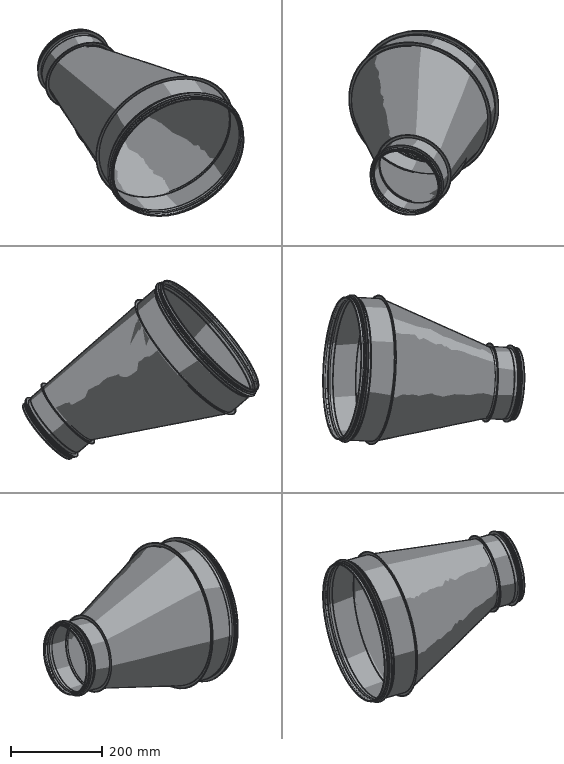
import cadquery as cq
import math


total_length = 416.0
small_diameter = 159.0
large_diameter = 314.0
large_flange_diameter = 328.5
sheet = 0.5
small_collar_length = 63.0
large_collar_length = 75.7

collar_flange_height = (large_flange_diameter - large_diameter) / 2
cone_flange_height = 6.0
bend_radius = 1.2
neck_length = 4.5

hem_length = 6.0
fold_radius = 1.45
seat_taper_start = 8.5
seat_taper_end = 13.7
groove_end = 22.5
groove_slope_end = 24.0
groove_rim_end = 26.0
groove_rim_middle = (groove_slope_end + groove_rim_end) / 2

seat_depth = 2 * fold_radius - sheet
groove_depth = 1.87
groove_rim_depth = 0.5
groove_rim_middle_depth = 0.12

front_lip_height = 2.7
back_lip_height = 5.0
gasket_base_depth = 0.62
front_lip_start = 8.5
front_lip_tip_start = 10.0
front_lip_end = 11.2
back_lip_start = 13.0
back_lip_tip_start = 14.5
back_lip_end = 16.2

axis_offset = (large_diameter - small_diameter) / 2


class DuctEnd:
    """One end of the reducer, measured inwards along the duct and outwards from its axis."""

    def __init__(self, diameter, axis_y, open_x, direction, collar_length):
        self.radius = diameter / 2
        self.axis_y = axis_y
        self.open_x = open_x
        self.direction = direction
        self.collar_length = collar_length
        self.neck_end = collar_length + neck_length

    def x(self, distance):
        return self.open_x + self.direction * distance

    def point(self, distance, height):
        """Point of a half section; the height is counted from the outside of the duct."""
        return (self.x(distance), self.axis_y + self.radius + height)

    def revolve(self, section):
        return section.close().revolve(360, (0, self.axis_y, 0), (1, self.axis_y, 0))

    def disc(self, distance, height):
        """Circle around the duct axis, as a wire to loft through."""
        centre = cq.Vector(self.x(distance), self.axis_y, 0)
        return cq.Wire.makeCircle(self.radius + height, centre, cq.Vector(1, 0, 0))


small_end = DuctEnd(small_diameter, -axis_offset, 0, 1, small_collar_length)
large_end = DuctEnd(large_diameter, 0, total_length, -1, large_collar_length)
duct_ends = [small_end, large_end]


def make_collar(end):
    """Sheet collar: hem, gasket seat, groove, straight duct and flange, revolved around the duct."""
    p = end.point
    joint = end.collar_length
    flange_face = joint - sheet
    bend_start = flange_face - bend_radius
    bend_middle = bend_radius * (1 - math.cos(math.radians(45)))
    section = (
        cq.Workplane("XY")
        .moveTo(*p(hem_length, 0))
        .lineTo(*p(hem_length, -sheet))
        .lineTo(*p(fold_radius, -sheet))
        .threePointArc(p(sheet, -fold_radius), p(fold_radius, -seat_depth))
        .lineTo(*p(seat_taper_start, -seat_depth))
        .lineTo(*p(seat_taper_end, -groove_depth))
        .lineTo(*p(groove_end, -groove_depth))
        .lineTo(*p(groove_slope_end, -groove_rim_depth))
        .threePointArc(p(groove_rim_middle, -groove_rim_middle_depth), p(groove_rim_end, 0))
        .lineTo(*p(bend_start, 0))
        .threePointArc(p(flange_face - bend_middle, bend_middle), p(flange_face, bend_radius))
        .lineTo(*p(flange_face, collar_flange_height))
        .lineTo(*p(joint, collar_flange_height))
        .lineTo(*p(joint, -sheet))
        .lineTo(*p(groove_rim_end, -sheet))
        .threePointArc(
            p(groove_rim_middle, -groove_rim_middle_depth - sheet),
            p(groove_slope_end, -groove_rim_depth - sheet),
        )
        .lineTo(*p(groove_end, -groove_depth - sheet))
        .lineTo(*p(seat_taper_end, -groove_depth - sheet))
        .lineTo(*p(seat_taper_start, -seat_depth - sheet))
        .lineTo(*p(fold_radius, -2 * fold_radius))
        .threePointArc(p(0, -fold_radius), p(fold_radius, 0))
    )
    return end.revolve(section)


def make_gasket(end):
    """Rubber ring with its foot inside the hem and two lips that lean into the reducer."""
    p = end.point
    section = (
        cq.Workplane("XY")
        .moveTo(*p(fold_radius, -sheet))
        .lineTo(*p(hem_length, -sheet))
        .lineTo(*p(hem_length, 0))
        .lineTo(*p(front_lip_start, 0))
        .lineTo(*p(front_lip_tip_start, front_lip_height))
        .lineTo(*p(front_lip_end, front_lip_height))
        .lineTo(*p(front_lip_end, -gasket_base_depth))
        .lineTo(*p(back_lip_start, -gasket_base_depth))
        .lineTo(*p(back_lip_tip_start, back_lip_height))
        .lineTo(*p(back_lip_end, back_lip_height))
        .lineTo(*p(back_lip_end, -groove_depth))
        .lineTo(*p(seat_taper_end, -groove_depth))
        .lineTo(*p(seat_taper_start, -seat_depth))
        .lineTo(*p(fold_radius, -seat_depth))
    )
    return end.revolve(section)


def make_cone_edge(end):
    """Flange and straight neck at one end of the cone."""
    p = end.point
    joint = end.collar_length
    section = (
        cq.Workplane("XY")
        .moveTo(*p(joint, -sheet))
        .lineTo(*p(joint, cone_flange_height))
        .lineTo(*p(joint + sheet, cone_flange_height))
        .lineTo(*p(joint + sheet, 0))
        .lineTo(*p(end.neck_end, 0))
        .lineTo(*p(end.neck_end, -sheet))
    )
    return end.revolve(section)


def loft_between_necks(height):
    wires = [end.disc(end.neck_end, height) for end in duct_ends]
    return cq.Workplane(cq.Solid.makeLoft(wires, True))


def make_cone():
    """Oblique sheet cone with a neck and a flange at each end."""
    cone = loft_between_necks(0).cut(loft_between_necks(-sheet))
    for end in duct_ends:
        cone = cone.union(make_cone_edge(end))
    return cone


cone = make_cone()
collars = [make_collar(end) for end in duct_ends]
gaskets = [make_gasket(end) for end in duct_ends]

bodies = [cone, *collars, *gaskets]
result = cq.Compound.makeCompound([body.solids().val() for body in bodies])